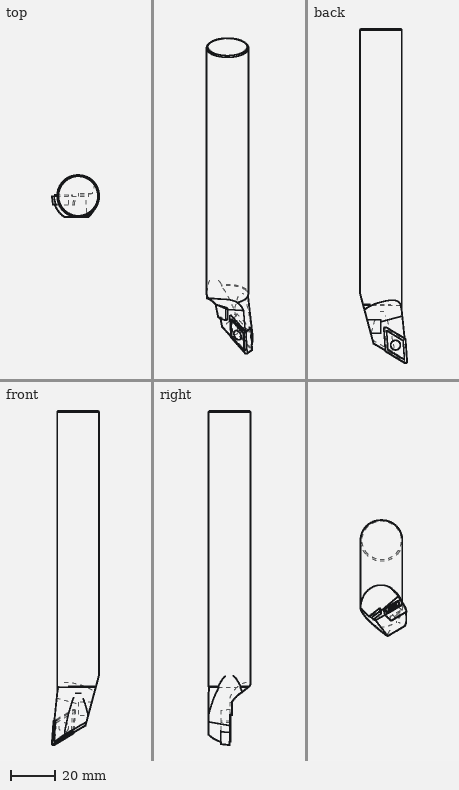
import cadquery as cq
import math

LENGTH = 151.2
SHANK_RADIUS = 9.5
TOP_CHAMFER = 0.6
MARGIN = 30.2

GROOVE_RADIUS = 9.4
GROOVE_TOP = 26.8
GROOVE_STEP = 26.3
GROOVE_BOTTOM = 24.7
NECK_TOP = 23.6
FLARE_BOTTOM = 6.0
FLARE_RADIUS = 11.3

FLANK_ANGLE = 15.0
FLANK_TOP = 31.9
END_ANGLE = 30.0
END_HEIGHT = 7.0
END_RELIEF = 0.15

RUNOUT_BOTTOM = (0.0, 18.8)
RUNOUT_MIDDLE = (3.3, 24.0)
RUNOUT_TOP = (9.7, 27.7)

LAND_HEIGHT = 1.2
LAND_START_X = 0.0
LAND_BOTTOM = 13.6
LAND_TOP = 19.7

EDGE_LENGTH = 11.6
CORNER_ANGLE = 55.0
LEAD_ANGLE = 31.0
CLEARANCE_ANGLE = 7.0
INSERT_THICKNESS = 4.0
NOSE_RADIUS = 0.8
NOSE_X = -12.0
PLATFORM_INSET = 1.2
PLATFORM_HEIGHT = 0.6
HOLE_DIAMETER = 4.4


def turned_blank():
    """Shank, shallow groove and flared neck turned about the Z axis."""
    profile = [
        (0, 0),
        (FLARE_RADIUS, 0),
        (FLARE_RADIUS, FLARE_BOTTOM),
        (SHANK_RADIUS, NECK_TOP),
        (GROOVE_RADIUS, GROOVE_BOTTOM),
        (GROOVE_RADIUS, GROOVE_STEP),
        (SHANK_RADIUS, GROOVE_TOP),
        (SHANK_RADIUS, LENGTH),
        (0, LENGTH),
    ]
    blank = cq.Workplane("XZ").polyline(profile).close().revolve(360, (0, 0), (0, 1))
    return blank.faces(">Z").chamfer(TOP_CHAMFER)


def front_flat():
    """Space in front of the flat that is level with the shank."""
    box = cq.Workplane("XY").box(2 * MARGIN, MARGIN, LENGTH, centered=(True, False, False))
    return box.translate((0, -SHANK_RADIUS - MARGIN, 0))


def flank_cut():
    """Space beyond the sloping +X flank."""
    run = FLANK_TOP * math.tan(math.radians(FLANK_ANGLE))
    outline = [
        (SHANK_RADIUS, FLANK_TOP),
        (SHANK_RADIUS - run, 0),
        (SHANK_RADIUS + MARGIN, 0),
        (SHANK_RADIUS + MARGIN, FLANK_TOP),
    ]
    return cq.Workplane("XZ").polyline(outline).close().extrude(MARGIN, both=True)


def end_cut():
    """Space below the end face, which rises towards +X and towards -Y."""
    relief_angle = math.degrees(math.atan(END_RELIEF * math.cos(math.radians(END_ANGLE))))
    block = cq.Workplane("XY").box(4 * MARGIN, 4 * MARGIN, MARGIN, centered=(True, True, False))
    block = block.translate((0, 0, -MARGIN))
    block = block.rotate((0, 0, 0), (1, 0, 0), -relief_angle)
    block = block.rotate((0, 0, 0), (0, 1, 0), -END_ANGLE)
    return block.translate((0, 0, END_HEIGHT))


def half_cut():
    """Space behind the neck, swept square to the flank, with a concave run-out."""
    slope = math.radians(FLANK_ANGLE)
    tilted = cq.Plane(
        origin=(0, 0, 0),
        xDir=(0, 1, 0),
        normal=(math.cos(slope), 0, -math.sin(slope)),
    )

    def along_flank(point):
        """Place a (Y, Z) point of the bar axis on the tilted plane."""
        y, z = point
        return (y, z * math.cos(slope))

    return (
        cq.Workplane(tilted)
        .moveTo(MARGIN, along_flank(RUNOUT_TOP)[1])
        .lineTo(*along_flank(RUNOUT_TOP))
        .threePointArc(along_flank(RUNOUT_MIDDLE), along_flank(RUNOUT_BOTTOM))
        .lineTo(0, -MARGIN)
        .lineTo(MARGIN, -MARGIN)
        .close()
        .extrude(MARGIN, both=True)
    )


def land():
    """Low step left standing on the half-cut face, out to the flank."""
    block = cq.Workplane("XY").box(
        SHANK_RADIUS - LAND_START_X, LAND_HEIGHT, LAND_TOP - LAND_BOTTOM, centered=False
    )
    return block.translate((LAND_START_X, 0, LAND_BOTTOM))


def insert_envelope():
    """Tapered rhombic plate with its face at Y = 0, and the corners of that face."""
    lower = math.radians(LEAD_ANGLE)
    upper = math.radians(LEAD_ANGLE + CORNER_ANGLE)
    bisector = (lower + upper) / 2
    nose_offset = NOSE_RADIUS / math.sin(math.radians(CORNER_ANGLE / 2))
    tip_x = NOSE_X + NOSE_RADIUS - nose_offset * math.cos(bisector)
    tip_z = NOSE_RADIUS - nose_offset * math.sin(bisector)
    lower_side = (EDGE_LENGTH * math.cos(lower), EDGE_LENGTH * math.sin(lower))
    upper_side = (EDGE_LENGTH * math.cos(upper), EDGE_LENGTH * math.sin(upper))
    corners = [
        (tip_x, tip_z),
        (tip_x + lower_side[0], tip_z + lower_side[1]),
        (tip_x + lower_side[0] + upper_side[0], tip_z + lower_side[1] + upper_side[1]),
        (tip_x + upper_side[0], tip_z + upper_side[1]),
    ]
    sketch = cq.Sketch().polygon(corners + corners[:1]).vertices().fillet(NOSE_RADIUS)
    plate = cq.Workplane("XZ").placeSketch(sketch).extrude(INSERT_THICKNESS, taper=CLEARANCE_ANGLE)
    return plate, corners


def make_insert():
    """Insert with a raised chip-breaking platform and a through hole."""
    plate, corners = insert_envelope()
    platform = (
        cq.Workplane("XZ").polyline(corners).close().offset2D(-PLATFORM_INSET).extrude(-PLATFORM_HEIGHT)
    )
    centre_x = (corners[0][0] + corners[2][0]) / 2
    centre_z = (corners[0][1] + corners[2][1]) / 2
    hole = (
        cq.Workplane("XZ").center(centre_x, centre_z).circle(HOLE_DIAMETER / 2).extrude(MARGIN, both=True)
    )
    return plate.union(platform).cut(hole)


def make_bar():
    """Boring bar with a pocket that fits the insert."""
    pocket, _ = insert_envelope()
    bar = turned_blank().cut(front_flat()).cut(half_cut().cut(land()))
    return bar.cut(flank_cut()).cut(end_cut()).cut(pocket)


bar = make_bar()
insert = make_insert()
result = cq.Compound.makeCompound([*bar.solids().vals(), *insert.solids().vals()])